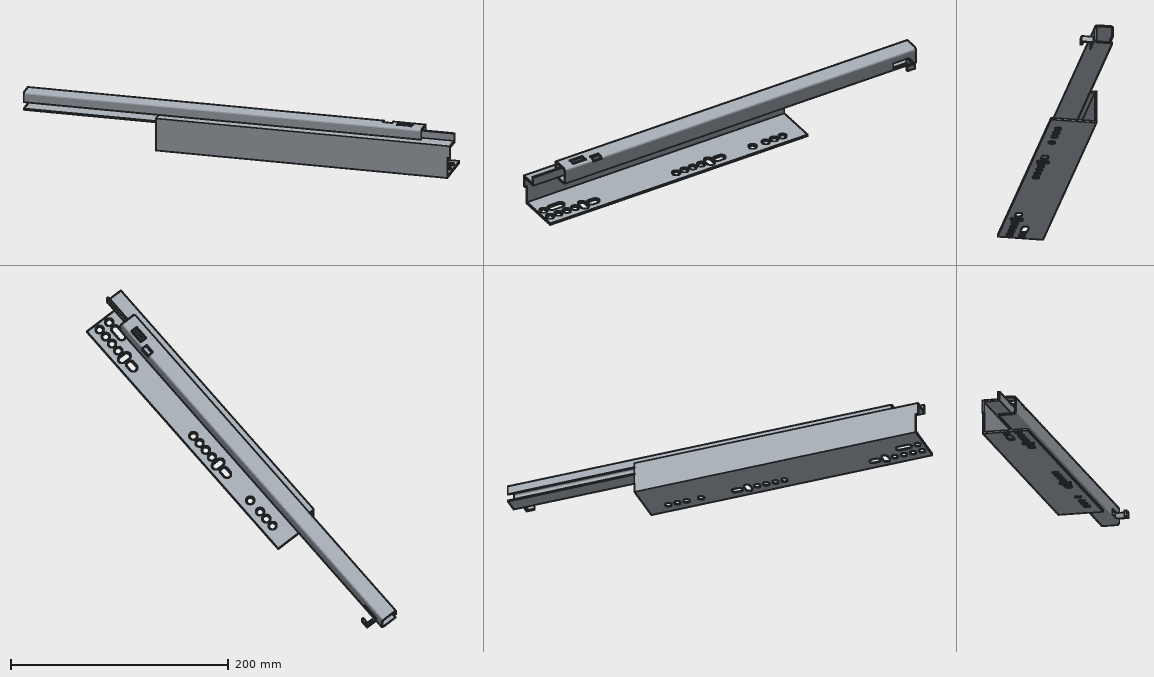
import cadquery as cq

LENGTH = 409.0
DEPTH = 42.5
HEIGHT = 42.0

FIXED_SHEET = 1.85
FIXED_START = 128.5
SHELF_TOP = 31.5
LIP_BACK = 16.8
LIP_TOP = 38.5
END_STEP = 2.5
END_STEP_TOP = 19.5

HOLE_DIAMETER = 6.0
SINK_DIAMETER = 8.0
SINK_DEPTH = (SINK_DIAMETER - HOLE_DIAMETER) / 2
HOLE_PITCH = 9.0
OUTER_ROW_Y = 32.5
INNER_ROW_Y = 21.0
LAST_HOLE_X = 400.5
HOLES_PER_GROUP = 4
GROUP_SPACING = 136.0
GROUP_SHIFTS = (0, -GROUP_SPACING)
UPRIGHT_SLOT_LENGTH = 13.5
LEVEL_SLOT_LENGTH = 12.5
LEVEL_SLOT_GAP = 10.5
INNER_SLOT_X = 387.0
INNER_SLOT_LENGTH = 17.5
FRONT_HOLE_X = 149.3
FRONT_HOLES = 3
LONE_HOLE_X = 181.5

RAIL_SHEET = 1.45
RAIL_LENGTH = 379.5
RAIL_FRONT = 7.5
RAIL_BACK = 24.5
RAIL_BOTTOM = 24.5
RAIL_SIDE_BOTTOM = 32.5
RAIL_FLOOR_FRONT = 8.0
BEND_OUTER = 2.65
BEND_INNER = BEND_OUTER - RAIL_SHEET

HOOK_BOTTOM = 28.2
HOOK_TOP = 33.5
HOOK_START = 7.8
HOOK_END = 16.0
HOOK_BACK = 35.5
HOOK_SHEET = 2.0
WINDOW_END = 24.5

CATCH_START = 354.5
CATCH_END = 368.5
CATCH_FRONT = 14.5
CATCH_BACK = 21.0
NOTCH_START = 340.0
NOTCH_END = 349.0
NOTCH_FRONT = 18.5
NOTCH_BOTTOM = HEIGHT - BEND_OUTER


def box(x_range, y_range, z_range):
    """Axis-aligned block between the given limits."""
    spans = [high - low for low, high in (x_range, y_range, z_range)]
    corner = (x_range[0], y_range[0], z_range[0])
    return cq.Workplane("XY").box(*spans, centered=False).translate(corner)


def extrude_profile(points, start, end):
    """Sweep a closed (Y, Z) outline along X."""
    return cq.Workplane("YZ", origin=(start, 0, 0)).polyline(points).close().extrude(end - start)


def countersunk_hole(x, y):
    """Cutter for a round countersunk hole through the base flange."""
    bore = cq.Workplane("XY").center(x, y).circle(HOLE_DIAMETER / 2).extrude(FIXED_SHEET)
    sink = (
        cq.Workplane("XY", origin=(x, y, FIXED_SHEET))
        .circle(SINK_DIAMETER / 2)
        .workplane(offset=-SINK_DEPTH)
        .circle(HOLE_DIAMETER / 2)
        .loft(ruled=True)
    )
    return bore.union(sink)


def countersunk_slot(x, y, length, angle=0):
    """Cutter for a countersunk slot; length is measured over the countersink."""
    inner_length = length - (SINK_DIAMETER - HOLE_DIAMETER)
    bore = cq.Workplane("XY").slot2D(inner_length, HOLE_DIAMETER).extrude(FIXED_SHEET)
    sink = (
        cq.Workplane("XY", origin=(0, 0, FIXED_SHEET))
        .slot2D(length, SINK_DIAMETER)
        .extrude(-SINK_DEPTH, taper=45)
    )
    return bore.union(sink).rotate((0, 0, 0), (0, 0, 1), angle).translate((x, y, 0))


def screw_hole_cutters():
    """All cutters for the holes and slots in the base flange."""
    cutters = []
    for shift in GROUP_SHIFTS:
        for i in range(HOLES_PER_GROUP):
            cutters.append(countersunk_hole(LAST_HOLE_X + shift - i * HOLE_PITCH, OUTER_ROW_Y))
        upright_x = LAST_HOLE_X + shift - HOLES_PER_GROUP * HOLE_PITCH
        cutters.append(countersunk_slot(upright_x, OUTER_ROW_Y, UPRIGHT_SLOT_LENGTH, angle=90))
        cutters.append(countersunk_slot(upright_x - LEVEL_SLOT_GAP, OUTER_ROW_Y, LEVEL_SLOT_LENGTH))
    for i in range(FRONT_HOLES):
        cutters.append(countersunk_hole(FRONT_HOLE_X + i * HOLE_PITCH, OUTER_ROW_Y))
    cutters.append(countersunk_hole(LONE_HOLE_X, OUTER_ROW_Y))
    cutters.append(countersunk_hole(LAST_HOLE_X, INNER_ROW_Y))
    cutters.append(countersunk_slot(INNER_SLOT_X, INNER_ROW_Y, INNER_SLOT_LENGTH))
    return cutters


def make_fixed_rail():
    """Folded sheet fixed to the cabinet, with its screw holes."""
    lip_front = LIP_BACK - FIXED_SHEET
    shelf_underside = SHELF_TOP - FIXED_SHEET
    profile = [
        (0, 0),
        (DEPTH, 0),
        (DEPTH, FIXED_SHEET),
        (FIXED_SHEET, FIXED_SHEET),
        (FIXED_SHEET, shelf_underside),
        (LIP_BACK, shelf_underside),
        (LIP_BACK, LIP_TOP),
        (lip_front, LIP_TOP),
        (lip_front, SHELF_TOP),
        (0, SHELF_TOP),
    ]
    rail = extrude_profile(profile, FIXED_START, LENGTH)
    rail = rail.cut(box((LENGTH - END_STEP, LENGTH), (0, DEPTH), (0, END_STEP_TOP)))
    for cutter in screw_hole_cutters():
        rail = rail.cut(cutter)
    return rail


def make_channel():
    """C channel with rounded bends, open at the lower front."""
    outside = box((0, RAIL_LENGTH), (RAIL_FRONT, RAIL_BACK), (RAIL_BOTTOM, HEIGHT))
    inside = box(
        (0, RAIL_LENGTH),
        (RAIL_FRONT + RAIL_SHEET, RAIL_BACK - RAIL_SHEET),
        (RAIL_BOTTOM + RAIL_SHEET, HEIGHT - RAIL_SHEET),
    )
    channel = outside.edges("|X").edges(">Z or >Y").fillet(BEND_OUTER)
    channel = channel.cut(inside.edges("|X").edges(">Z or >Y").fillet(BEND_INNER))
    side_gap = box(
        (0, RAIL_LENGTH),
        (RAIL_FRONT, RAIL_FRONT + RAIL_SHEET),
        (RAIL_BOTTOM, RAIL_SIDE_BOTTOM),
    )
    floor_end = box(
        (0, RAIL_LENGTH),
        (RAIL_FLOOR_FRONT, RAIL_FRONT + RAIL_SHEET),
        (RAIL_BOTTOM, RAIL_BOTTOM + RAIL_SHEET),
    )
    return channel.cut(side_gap).union(floor_end)


def make_hook():
    """L-shaped tab: an arm standing out of the rear wall and a tip along X."""
    wall_inside = RAIL_BACK - RAIL_SHEET
    height = (HOOK_BOTTOM, HOOK_TOP)
    arm = box((HOOK_START, HOOK_START + HOOK_SHEET), (wall_inside, HOOK_BACK), height)
    tip = box((HOOK_START, HOOK_END), (HOOK_BACK - HOOK_SHEET, HOOK_BACK), height)
    return arm.union(tip)


def make_sliding_rail():
    """Channel with the hook, its window and the two openings near the rear end."""
    wall = (RAIL_BACK - RAIL_SHEET, RAIL_BACK)
    window = box((HOOK_START + HOOK_SHEET, WINDOW_END), wall, (HOOK_BOTTOM, HOOK_TOP))
    catch = box((CATCH_START, CATCH_END), (CATCH_FRONT, CATCH_BACK), (HEIGHT - RAIL_SHEET, HEIGHT))
    notch = box((NOTCH_START, NOTCH_END), (NOTCH_FRONT, RAIL_BACK), (NOTCH_BOTTOM, HEIGHT))
    return make_channel().cut(window).cut(catch).cut(notch).union(make_hook())


fixed_rail = make_fixed_rail()
sliding_rail = make_sliding_rail()

result = cq.Compound.makeCompound([fixed_rail.val(), sliding_rail.val()])